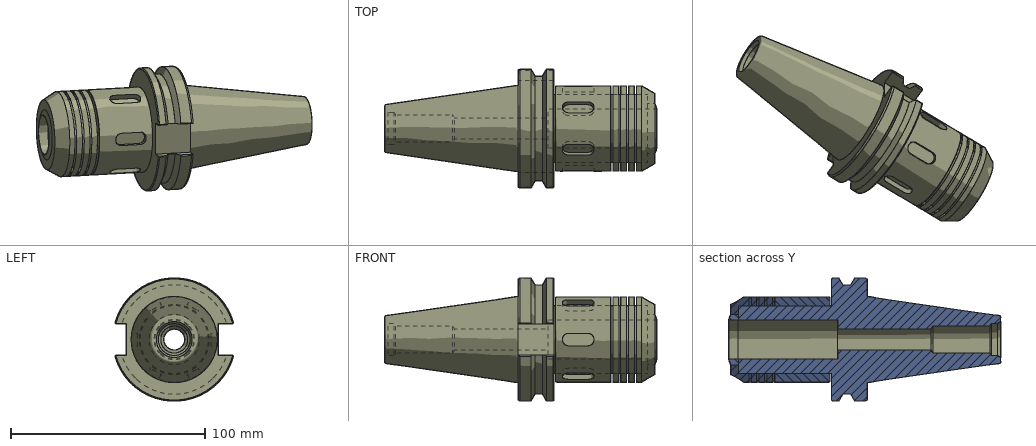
import cadquery as cq
import math

OVERALL_LENGTH = 140.2

TAPER_RATIO = 7 / 24
GAUGE_DIAMETER = 44.5
TAPER_LENGTH = 68.0
TAPER_END_FILLET = 1.1

FLANGE_START = 68.7
FLANGE_END = 87.4
FLANGE_DIAMETER = 63.5
FLANGE_CHAMFER_LENGTH = 1.0
FLANGE_CHAMFER_DEPTH = 0.5
FLANGE_REAR_CHAMFER = 0.5
GROOVE_CENTRE = 79.4
GROOVE_FLOOR_DIAMETER = 56.4
GROOVE_FLOOR_WIDTH = 3.8
GROOVE_WALL_ANGLE = 60.0
DRIVE_SLOT_WIDTH = 16.1
DRIVE_SLOT_FLOORS = (-22.7, 24.8)
DRIVE_SLOT_CHAMFER = 0.5

TUBE_DIAMETER = 35.0
TUBE_END = 135.3
CHUCK_BORE_DIAMETER = 20.0
CHUCK_BORE_START = 84.1

MOUTH_DIAMETER = 18.5
MOUTH_DEPTH = 1.8
COUNTERBORE_DIAMETER = 16.4
COUNTERBORE_DEPTH = 4.9
THREAD_START = 5.6
THREAD_DIAMETER = 13.9
THREAD_DEPTH = 35.0
THROUGH_DIAMETER = 10.7
DRILL_POINT_ANGLE = 59.0

SLEEVE_START = 88.0
SLEEVE_END = 116.4
SLEEVE_DIAMETER = 44.0
SLEEVE_FILLET = 1.0
WRENCH_SLOT_COUNT = 6
WRENCH_SLOT_START = 91.6
WRENCH_SLOT_LENGTH = 16.3
WRENCH_SLOT_WIDTH = 6.5
WRENCH_SLOT_FLOOR = 19.0
GRIP_GROOVE_COUNT = 4
GRIP_GROOVE_FIRST = 117.1
GRIP_GROOVE_LAST = 129.2
GRIP_GROOVE_RADIUS = 0.49
CAP_CONE_START = 132.4
CAP_END = 139.3
CAP_FACE_DIAMETER = 36.0

NOSE_DIAMETER = 25.8
NOSE_FACE_DIAMETER = 20.8


def revolved(points):
    """Solid of revolution about X from a closed outline of (x, radius) points."""
    return cq.Workplane("XY").polyline(points).close().revolve(360, (0, 0, 0), (1, 0, 0))


def rod(diameter, start, end):
    """Plain cylinder along X."""
    return cq.Workplane("YZ", origin=(start, 0, 0)).circle(diameter / 2).extrude(end - start)


def taper_body():
    end_radius = (GAUGE_DIAMETER - TAPER_LENGTH * TAPER_RATIO) / 2
    gauge_radius = GAUGE_DIAMETER / 2
    cone = revolved([
        (0, 0),
        (0, end_radius),
        (TAPER_LENGTH, gauge_radius),
        (FLANGE_START, gauge_radius),
        (FLANGE_START, 0),
    ])
    return cone.faces("<X").edges().fillet(TAPER_END_FILLET)


def flange_body():
    radius = FLANGE_DIAMETER / 2
    floor_radius = GROOVE_FLOOR_DIAMETER / 2
    half_floor = GROOVE_FLOOR_WIDTH / 2
    half_mouth = half_floor + (radius - floor_radius) / math.tan(math.radians(GROOVE_WALL_ANGLE))
    return revolved([
        (FLANGE_START, 0),
        (FLANGE_START, radius - FLANGE_CHAMFER_DEPTH),
        (FLANGE_START + FLANGE_CHAMFER_LENGTH, radius),
        (GROOVE_CENTRE - half_mouth, radius),
        (GROOVE_CENTRE - half_floor, floor_radius),
        (GROOVE_CENTRE + half_floor, floor_radius),
        (GROOVE_CENTRE + half_mouth, radius),
        (FLANGE_END - FLANGE_REAR_CHAMFER, radius),
        (FLANGE_END, radius - FLANGE_REAR_CHAMFER),
        (FLANGE_END, 0),
    ])


def drive_slot(floor):
    """Cutter for one drive slot, with a 45 degree flare that breaks its outer edges."""
    side = math.copysign(1, floor)
    half_width = DRIVE_SLOT_WIDTH / 2
    flare_half_width = half_width + DRIVE_SLOT_CHAMFER
    flare_end = math.sqrt((FLANGE_DIAMETER / 2) ** 2 - flare_half_width ** 2)
    flare_start = flare_end - DRIVE_SLOT_CHAMFER
    outside = FLANGE_DIAMETER / 2
    outside_half_width = flare_half_width + outside - flare_end
    upper = [
        (floor, half_width),
        (side * flare_start, half_width),
        (side * outside, outside_half_width),
    ]
    lower = [(y, -z) for y, z in reversed(upper)]
    slot = cq.Workplane("YZ", origin=(FLANGE_START, 0, 0)).polyline(upper + lower).close()
    return slot.extrude(FLANGE_END - FLANGE_START)


def drawbar_hole():
    """Stepped hole from the small end through to the chuck bore."""
    drill_point = (THREAD_DIAMETER - THROUGH_DIAMETER) / 2 / math.tan(math.radians(DRILL_POINT_ANGLE))
    return revolved([
        (0, 0),
        (0, MOUTH_DIAMETER / 2),
        (MOUTH_DEPTH, COUNTERBORE_DIAMETER / 2),
        (COUNTERBORE_DEPTH, COUNTERBORE_DIAMETER / 2),
        (THREAD_START, THREAD_DIAMETER / 2),
        (THREAD_DEPTH, THREAD_DIAMETER / 2),
        (THREAD_DEPTH + drill_point, THROUGH_DIAMETER / 2),
        (CHUCK_BORE_START, THROUGH_DIAMETER / 2),
        (CHUCK_BORE_START, 0),
    ])


def make_shank():
    shank = taper_body().union(flange_body()).union(rod(TUBE_DIAMETER, FLANGE_END, TUBE_END))
    for floor in DRIVE_SLOT_FLOORS:
        shank = shank.cut(drive_slot(floor))
    return shank.cut(drawbar_hole()).cut(rod(CHUCK_BORE_DIAMETER, CHUCK_BORE_START, TUBE_END))


def wrench_slot(angle):
    """Cutter for one round-ended slot in the sleeve, turned about X from the -Y side."""
    centre = WRENCH_SLOT_START + WRENCH_SLOT_LENGTH / 2
    depth = SLEEVE_DIAMETER / 2 - WRENCH_SLOT_FLOOR
    slot = cq.Workplane("XZ", origin=(centre, -WRENCH_SLOT_FLOOR, 0))
    slot = slot.slot2D(WRENCH_SLOT_LENGTH, WRENCH_SLOT_WIDTH).extrude(depth)
    return slot.rotate((0, 0, 0), (1, 0, 0), angle)


def make_sleeve():
    sleeve = rod(SLEEVE_DIAMETER, SLEEVE_START, SLEEVE_END)
    sleeve = sleeve.faces("<X").edges().fillet(SLEEVE_FILLET)
    for index in range(WRENCH_SLOT_COUNT):
        sleeve = sleeve.cut(wrench_slot(index * 360 / WRENCH_SLOT_COUNT))
    return sleeve.cut(rod(TUBE_DIAMETER, SLEEVE_START, SLEEVE_END))


def grip_groove(centre):
    """Ring that cuts a half-round groove into the cap."""
    section = cq.Workplane("XY").moveTo(centre, SLEEVE_DIAMETER / 2).circle(GRIP_GROOVE_RADIUS)
    return section.revolve(360, (0, 0, 0), (1, 0, 0))


def make_cap():
    cap = revolved([
        (SLEEVE_END, TUBE_DIAMETER / 2),
        (SLEEVE_END, SLEEVE_DIAMETER / 2),
        (CAP_CONE_START, SLEEVE_DIAMETER / 2),
        (CAP_END, CAP_FACE_DIAMETER / 2),
        (CAP_END, NOSE_DIAMETER / 2),
        (TUBE_END, NOSE_DIAMETER / 2),
        (TUBE_END, TUBE_DIAMETER / 2),
    ])
    pitch = (GRIP_GROOVE_LAST - GRIP_GROOVE_FIRST) / (GRIP_GROOVE_COUNT - 1)
    for index in range(GRIP_GROOVE_COUNT):
        cap = cap.cut(grip_groove(GRIP_GROOVE_FIRST + index * pitch))
    return cap


def make_nose_ring():
    """Ring in the mouth of the cap, against the end of the chuck tube."""
    return revolved([
        (TUBE_END, CHUCK_BORE_DIAMETER / 2),
        (TUBE_END, NOSE_DIAMETER / 2),
        (CAP_END, NOSE_DIAMETER / 2),
        (OVERALL_LENGTH, NOSE_FACE_DIAMETER / 2),
        (OVERALL_LENGTH, CHUCK_BORE_DIAMETER / 2),
    ])


shank = make_shank()
sleeve = make_sleeve()
cap = make_cap()
nose_ring = make_nose_ring()

result = cq.Compound.makeCompound([shank.val(), sleeve.val(), cap.val(), nose_ring.val()])